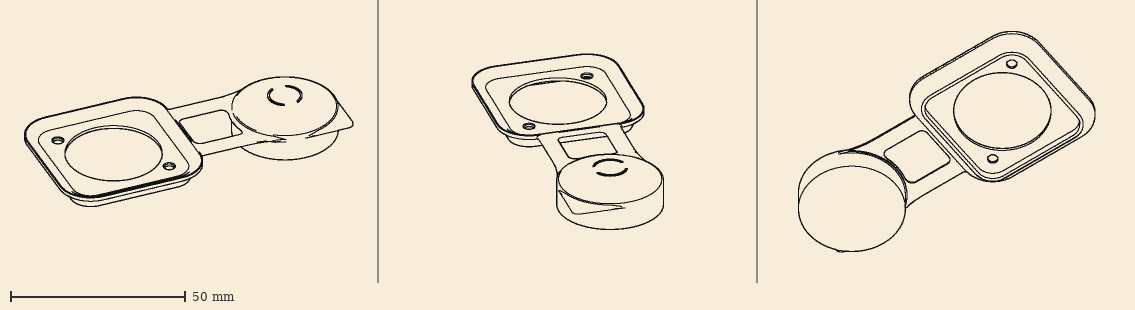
import cadquery as cq
import math

PLATE_TOP = 8.0
PLATE_BOTTOM = 6.8
COLLAR_BOTTOM = 6.3
FRAME_BOTTOM = 2.5
FLOOR_TOP = 6.0
FLOOR_BOTTOM = 5.0
RIM_HEIGHT = 8.1
DOME_TOP = 12.2
RING_TOP = 12.0

FRAME_HALF = 21.8
CORNER_CENTRE = 12.2
CORNER_RADIUS = FRAME_HALF - CORNER_CENTRE
LIP_WIDTH = 0.4
WALL_FOOT_HALF = 18.4
WALL_BOW = 0.45
TRAY_BOW = 0.3
SKIRT_WALL = 1.0
GROOVE_OUTER = 18.6
GROOVE_INNER = 17.8
GROOVE_DEPTH = 0.14
OPENING_DIAMETER = 28.0
SCREW_DIAMETER = 3.0
SCREW_CHAMFER = 0.3
COUNTERSINK_ANGLE = 90

CAP_RADIUS = 15.4
CAP_Y = 53.3
RIM_ROUND = 0.5
RING_OUTER = 5.0
RING_INNER = 4.4
RING_GAP = 4.2

STRAP_HALF = CORNER_CENTRE
STRAP_FOOT_Y = FRAME_HALF - LIP_WIDTH
FOOT_ROUND = 1.1
STRAP_STRAIGHT_END = 36.7
EDGE_ROUND = 0.8
COLLAR_RADIUS = 15.8

WINDOW_HALF = 7.15
WINDOW_BOTTOM = 22.8
WINDOW_TOP = 37.65
WINDOW_CORNER = 1.9
WINDOW_EDGE_ROUND = 1.1
WINDOW_CAP_BAND = 0.9

TAB_CORNER = 1.9

PLATE_THICKNESS = PLATE_TOP - PLATE_BOTTOM


def cylinder(radius, bottom, top, y=0):
    return cq.Workplane("XY", origin=(0, y, bottom)).circle(radius).extrude(top - bottom)


def rounded_square(half, corner, bottom, top):
    block = cq.Workplane("XY", origin=(0, 0, bottom)).rect(2 * half, 2 * half).extrude(top - bottom)
    return block.edges("|Z").fillet(corner)


def bowed_midpoint(start, end, bulge):
    """Middle of an arc from start to end, bowed to the left of that direction."""
    dx, dz = end[0] - start[0], end[1] - start[1]
    length = math.hypot(dx, dz)
    middle_x = (start[0] + end[0]) / 2 - bulge * dz / length
    middle_z = (start[1] + end[1]) / 2 + bulge * dx / length
    return middle_x, middle_z


def make_frame():
    """Flared tray wall swept around the rounded square, closed by a floor with holes."""
    foot = (WALL_FOOT_HALF, FRAME_BOTTOM)
    under_lip = (FRAME_HALF, PLATE_BOTTOM)
    lip_inside = (FRAME_HALF - LIP_WIDTH, PLATE_TOP)
    groove_start = (GROOVE_OUTER, FLOOR_TOP)
    groove_middle = ((GROOVE_OUTER + GROOVE_INNER) / 2, FLOOR_TOP - GROOVE_DEPTH)
    groove_end = (GROOVE_INNER, FLOOR_TOP)
    skirt_inside = WALL_FOOT_HALF - SKIRT_WALL
    path = (
        cq.Workplane("XY", origin=(0, 0, PLATE_TOP))
        .moveTo(FRAME_HALF, 0)
        .lineTo(FRAME_HALF, CORNER_CENTRE)
        .radiusArc((CORNER_CENTRE, FRAME_HALF), -CORNER_RADIUS)
        .lineTo(-CORNER_CENTRE, FRAME_HALF)
        .radiusArc((-FRAME_HALF, CORNER_CENTRE), -CORNER_RADIUS)
        .lineTo(-FRAME_HALF, -CORNER_CENTRE)
        .radiusArc((-CORNER_CENTRE, -FRAME_HALF), -CORNER_RADIUS)
        .lineTo(CORNER_CENTRE, -FRAME_HALF)
        .radiusArc((FRAME_HALF, -CORNER_CENTRE), -CORNER_RADIUS)
        .close()
    )
    wall = (
        cq.Workplane("XZ")
        .moveTo(*foot)
        .threePointArc(bowed_midpoint(foot, under_lip, WALL_BOW), under_lip)
        .lineTo(FRAME_HALF, PLATE_TOP)
        .lineTo(*lip_inside)
        .threePointArc(bowed_midpoint(lip_inside, groove_start, -TRAY_BOW), groove_start)
        .threePointArc(groove_middle, groove_end)
        .lineTo(skirt_inside, FLOOR_TOP)
        .lineTo(skirt_inside, FRAME_BOTTOM)
        .close()
        .sweep(path)
    )
    floor_half = (skirt_inside + GROOVE_INNER) / 2
    floor = rounded_square(floor_half, floor_half - CORNER_CENTRE, FLOOR_BOTTOM, FLOOR_TOP)
    opening = cylinder(OPENING_DIAMETER / 2, FLOOR_BOTTOM, FLOOR_TOP)
    screw_points = [(CORNER_CENTRE, CORNER_CENTRE), (-CORNER_CENTRE, -CORNER_CENTRE)]
    return (
        wall.union(floor)
        .cut(opening)
        .copyWorkplane(cq.Workplane("XY", origin=(0, 0, FLOOR_TOP)))
        .pushPoints(screw_points)
        .cskHole(SCREW_DIAMETER, SCREW_DIAMETER + 2 * SCREW_CHAMFER, COUNTERSINK_ANGLE)
    )


def make_cap():
    """Plain drum with a rounded rim, a domed top and a broken raised ring."""
    dome_edge = CAP_RADIUS - RIM_ROUND
    dome_rise = DOME_TOP - RIM_HEIGHT
    dome_radius = (dome_edge**2 + dome_rise**2) / (2 * dome_rise)
    drum = (
        cq.Workplane("XZ")
        .lineTo(CAP_RADIUS, 0)
        .lineTo(CAP_RADIUS, RIM_HEIGHT - RIM_ROUND)
        .radiusArc((dome_edge, RIM_HEIGHT), -RIM_ROUND)
        .radiusArc((0, DOME_TOP), -dome_radius)
        .close()
        .revolve(360, (0, 0), (0, 1))
        .translate((0, CAP_Y, 0))
    )
    ring = cylinder(RING_OUTER, RIM_HEIGHT, RING_TOP, CAP_Y).cut(
        cylinder(RING_INNER, RIM_HEIGHT, RING_TOP, CAP_Y)
    )
    gap = cq.Workplane("XY", origin=(0, CAP_Y, RIM_HEIGHT)).rect(2 * CAP_RADIUS, RING_GAP)
    gap = gap.extrude(RING_TOP - RIM_HEIGHT)
    return drum.union(ring.cut(gap))


def strap_outline(bottom, top):
    """Strap whose sides curve out to meet the cap tangentially."""
    rise = CAP_Y - STRAP_STRAIGHT_END
    flare_radius = (STRAP_HALF**2 + rise**2 - CAP_RADIUS**2) / (2 * (CAP_RADIUS - STRAP_HALF))
    reach = CAP_RADIUS / (CAP_RADIUS + flare_radius)
    tangent_x = (STRAP_HALF + flare_radius) * reach
    tangent_y = CAP_Y - rise * reach
    foot_x = STRAP_HALF + FOOT_ROUND
    foot_end_y = (STRAP_FOOT_Y + FRAME_HALF) / 2
    root_y = foot_end_y - 2 * EDGE_ROUND
    foot_start_y = foot_end_y + FOOT_ROUND
    return (
        cq.Workplane("XY", origin=(0, 0, bottom))
        .moveTo(-foot_x, root_y)
        .lineTo(foot_x, root_y)
        .lineTo(foot_x, foot_end_y)
        .radiusArc((STRAP_HALF, foot_start_y), FOOT_ROUND)
        .lineTo(STRAP_HALF, STRAP_STRAIGHT_END)
        .radiusArc((tangent_x, tangent_y), flare_radius)
        .lineTo(-tangent_x, tangent_y)
        .radiusArc((-STRAP_HALF, STRAP_STRAIGHT_END), flare_radius)
        .lineTo(-STRAP_HALF, foot_start_y)
        .radiusArc((-foot_x, foot_end_y), FOOT_ROUND)
        .close()
        .extrude(top - bottom)
    )


def make_window():
    height = WINDOW_TOP - WINDOW_BOTTOM
    window = (
        cq.Workplane("XY", origin=(0, WINDOW_BOTTOM + height / 2, COLLAR_BOTTOM))
        .rect(2 * WINDOW_HALF, height)
        .extrude(PLATE_TOP - COLLAR_BOTTOM)
        .edges("|Z")
        .fillet(WINDOW_CORNER)
    )
    return window.cut(cylinder(CAP_RADIUS + WINDOW_CAP_BAND, COLLAR_BOTTOM, PLATE_TOP, CAP_Y))


def top_edges_within(half_width, start_y, end_y):
    """Selector for the edges of the plate top inside a rectangle."""
    margin = 0.1
    return cq.selectors.BoxSelector(
        (-half_width - margin, start_y - margin, PLATE_TOP - margin),
        (half_width + margin, end_y + margin, PLATE_TOP + margin),
    )


def make_strap():
    """Strap with rounded top edges and a thicker collar where it meets the cap."""
    side_edges = top_edges_within(2 * STRAP_HALF, FRAME_HALF, CAP_Y - 0.5 * CAP_RADIUS)
    strap = strap_outline(PLATE_BOTTOM, PLATE_TOP).edges(side_edges).fillet(EDGE_ROUND)
    root = (
        cq.Workplane("XY", origin=(0, 0, PLATE_BOTTOM))
        .rect(2 * FRAME_HALF, 2 * STRAP_FOOT_Y)
        .extrude(PLATE_THICKNESS)
    )
    window_edges = top_edges_within(WINDOW_HALF, WINDOW_BOTTOM, WINDOW_TOP)
    strap = strap.cut(root).cut(make_window()).edges(window_edges).fillet(WINDOW_EDGE_ROUND)
    collar = strap_outline(COLLAR_BOTTOM, PLATE_BOTTOM).intersect(
        cylinder(COLLAR_RADIUS, COLLAR_BOTTOM, PLATE_BOTTOM, CAP_Y)
    )
    return strap.union(collar)


def make_tab():
    """Square corner beside the cap, flush with its outer edges."""
    return (
        cq.Workplane("XY", origin=(0, CAP_Y, PLATE_BOTTOM))
        .rect(CAP_RADIUS, CAP_RADIUS, centered=False)
        .extrude(PLATE_THICKNESS)
        .edges("|Z and >X and >Y")
        .fillet(TAB_CORNER)
        .faces(">Z")
        .edges(">X or >Y")
        .fillet(EDGE_ROUND)
    )


result = make_frame().union(make_strap()).union(make_tab()).union(make_cap())